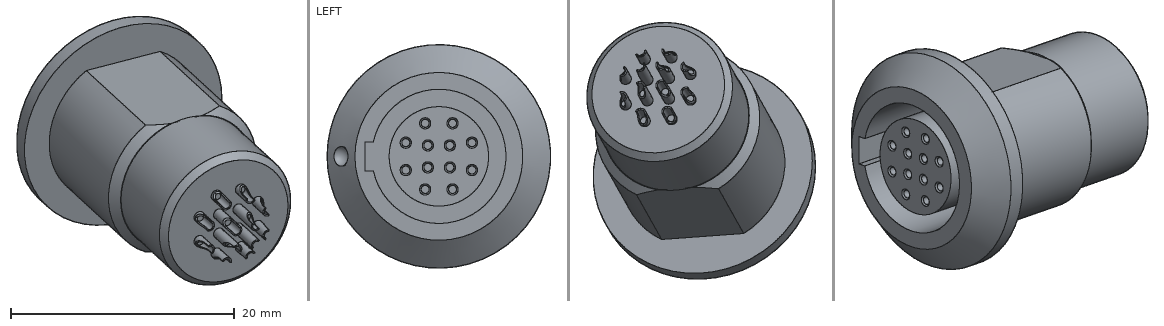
import cadquery as cq
import math


flange_radius = 10.0
flange_front_radius = 7.5
flange_cone_length = flange_radius - flange_front_radius
flange_length = 4.0
barrel_radius = 7.5
barrel_end = 16.1
barrel_chamfer = 0.8
flat_half_height = 6.5
rear_radius = 6.65
rear_end = 24.0
rear_chamfer = 0.6

socket_radius = 6.0
socket_depth = 10.0
keyway_reach = 6.6
keyway_width = 2.6
insert_radius = 4.45
insert_recess = 0.5

dot_radius = 0.88

contact_radius = 0.5
contact_bore_radius = 0.36
contact_bore_depth = 4.0
countersink_depth = contact_radius - contact_bore_radius
outer_ring_count = 8
outer_ring_radius = 3.2
outer_cup_end = 26.0
inner_ring_count = 4
inner_ring_radius = 1.39
inner_cup_end = 27.5

cup_flat_length = 0.5
cup_runout_length = 1.3
cup_bore_radius = 0.36
cup_cut_offset = 0.06


def cylinder(start, end, radius):
    """Cylinder about the X axis from start to end."""
    return cq.Workplane("YZ", origin=(start, 0, 0)).circle(radius).extrude(end - start)


def make_shell():
    """Revolved flange, barrel with two flats, and rear body."""
    flange = cylinder(0, flange_length, flange_radius).faces("<X").chamfer(flange_cone_length)
    barrel = cylinder(0, barrel_end, barrel_radius).faces(">X").chamfer(barrel_chamfer)
    flat_limits = cq.Workplane("XY").box(
        barrel_end, 2 * barrel_radius, 2 * flat_half_height, centered=(False, True, True)
    )
    rear = cylinder(0, rear_end, rear_radius).faces(">X").chamfer(rear_chamfer)
    rear = rear.intersect(cylinder(barrel_end, rear_end, flange_radius))
    return flange.union(barrel.intersect(flat_limits)).union(rear)


def make_socket():
    """Annular cavity with a keyway on +Y, and the step down to the insert face."""
    keyway = cq.Workplane("XY").box(
        socket_depth, keyway_reach, keyway_width, centered=(False, False, True)
    )
    insert = cylinder(insert_recess, socket_depth, insert_radius)
    return cylinder(0, socket_depth, socket_radius).union(keyway).cut(insert)


def make_alignment_dot():
    """Sphere centred on the middle of the flange cone, on the keyway side."""
    middle = flange_cone_length / 2
    return cq.Workplane("XY").sphere(dot_radius).translate(
        (middle, flange_front_radius + middle, 0)
    )


def make_contact_hole():
    """Countersunk bore in the insert face, on the X axis."""
    bore = cylinder(insert_recess, insert_recess + contact_bore_depth, contact_bore_radius)
    countersink = cq.Workplane(
        cq.Solid.makeCone(
            contact_radius,
            contact_bore_radius,
            countersink_depth,
            pnt=cq.Vector(insert_recess, 0, 0),
            dir=cq.Vector(1, 0, 0),
        )
    )
    return bore.union(countersink)


def make_solder_cup(end):
    """Hollow pin on the X axis, cut away on +Y to just past the axis, with a concave run-out."""
    flat_start = end - cup_flat_length
    start = flat_start - cup_runout_length
    runout_height = contact_radius + cup_cut_offset
    runout_radius = (cup_runout_length**2 + runout_height**2) / (2 * runout_height)
    half_sweep = math.asin(cup_runout_length / runout_radius) / 2
    runout_middle = (
        flat_start - runout_radius * math.sin(half_sweep),
        runout_radius * (1 - math.cos(half_sweep)) - cup_cut_offset,
    )
    opening = (
        cq.Workplane("XY")
        .moveTo(end, -cup_cut_offset)
        .lineTo(flat_start, -cup_cut_offset)
        .threePointArc(runout_middle, (start, contact_radius))
        .lineTo(end, contact_radius)
        .close()
        .extrude(contact_radius, both=True)
    )
    pin = cylinder(rear_end, end, contact_radius)
    bore = cylinder(start, end, cup_bore_radius)
    return pin.cut(bore).cut(opening)


def place_on_ring(shape, count, radius):
    """Copies of a shape evenly spaced about X, each with its +Y side facing outward."""
    step = 360 / count
    moved = shape.translate((0, radius, 0))
    return [moved.rotate((0, 0, 0), (1, 0, 0), (i + 0.5) * step) for i in range(count)]


result = make_shell().cut(make_socket()).cut(make_alignment_dot())

contact_rings = (
    (outer_ring_count, outer_ring_radius, outer_cup_end),
    (inner_ring_count, inner_ring_radius, inner_cup_end),
)
for ring_count, ring_radius, cup_end in contact_rings:
    for hole in place_on_ring(make_contact_hole(), ring_count, ring_radius):
        result = result.cut(hole)
    for cup in place_on_ring(make_solder_cup(cup_end), ring_count, ring_radius):
        result = result.union(cup)